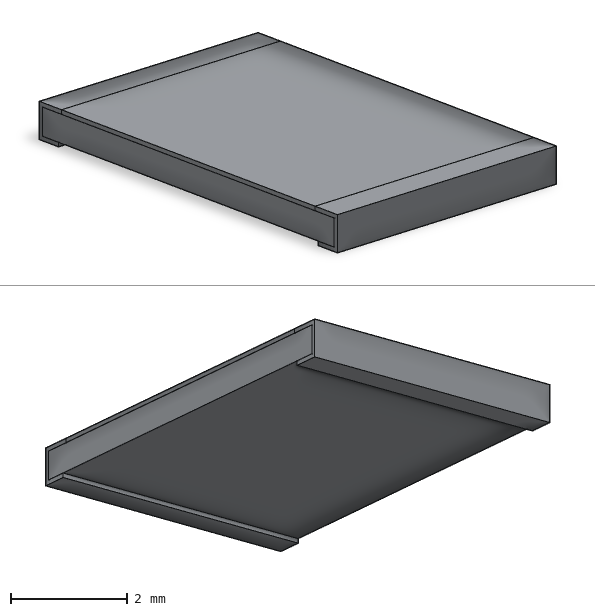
import cadquery as cq

LENGTH = 7.62
WIDTH = 5.08
HEIGHT = 0.7

PLATING = 0.085
TOP_FLANGE = 0.57
BOTTOM_FLANGE = 0.495

SUBSTRATE_LENGTH = LENGTH - 2 * PLATING
SUBSTRATE_HEIGHT = HEIGHT - 2 * PLATING
COATING_LENGTH = LENGTH - 2 * TOP_FLANGE


def make_substrate():
    """Ceramic plate held between the two terminals."""
    return (
        cq.Workplane("XY")
        .workplane(offset=PLATING)
        .rect(SUBSTRATE_LENGTH, WIDTH)
        .extrude(SUBSTRATE_HEIGHT)
    )


def make_coating():
    """Protective layer on the substrate, flush with the top flanges."""
    return (
        cq.Workplane("XY")
        .workplane(offset=HEIGHT - PLATING)
        .rect(COATING_LENGTH, WIDTH)
        .extrude(PLATING)
    )


def make_terminal(side):
    """C-shaped end cap; side is -1 for the -X end and +1 for the +X end."""
    outer = side * LENGTH / 2
    inner = side * SUBSTRATE_LENGTH / 2
    top_edge = outer - side * TOP_FLANGE
    bottom_edge = outer - side * BOTTOM_FLANGE
    profile = [
        (outer, 0),
        (outer, HEIGHT),
        (top_edge, HEIGHT),
        (top_edge, HEIGHT - PLATING),
        (inner, HEIGHT - PLATING),
        (inner, PLATING),
        (bottom_edge, PLATING),
        (bottom_edge, 0),
    ]
    return cq.Workplane("XZ").polyline(profile).close().extrude(WIDTH / 2, both=True)


substrate = make_substrate()
coating = make_coating()
terminals = [make_terminal(side) for side in (-1, 1)]

result = cq.Compound.makeCompound(
    [substrate.val(), coating.val(), *[terminal.val() for terminal in terminals]]
)